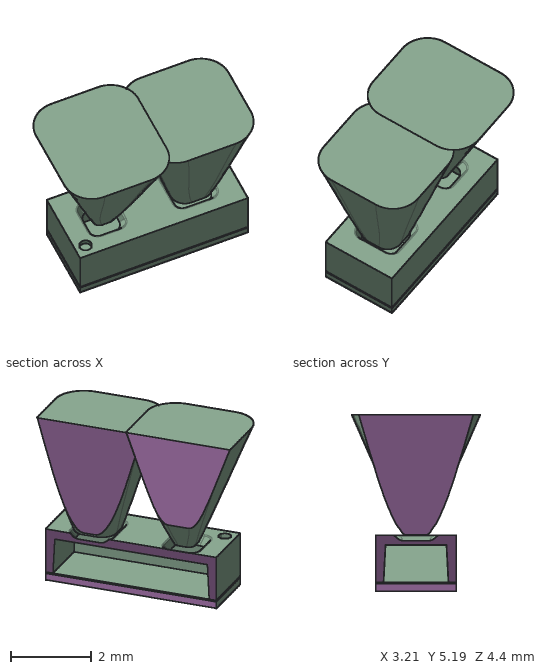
import cadquery as cq

PACKAGE_X = 2.015
PACKAGE_Y = 4.59
BASE_THICKNESS = 0.19
ADHESIVE_THICKNESS = 0.035
CAP_HEIGHT = 1.175
CAP_BOTTOM = BASE_THICKNESS + ADHESIVE_THICKNESS
CAP_TOP = CAP_BOTTOM + CAP_HEIGHT

ROOF_THICKNESS = 0.25
WALL_THICKNESS = 0.2
CAVITY_DRAFT = 3.0
CAVITY_HEIGHT = CAP_HEIGHT - ROOF_THICKNESS

EMITTER_Y = -1.26
AXIS_SPACING = 2.375
RECEIVER_Y = EMITTER_Y + AXIS_SPACING

EMITTER_WINDOW_X = 0.855
EMITTER_WINDOW_Y = 0.81
RECEIVER_WINDOW_X = 1.005
RECEIVER_WINDOW_Y = 0.985
WINDOW_CORNER = 0.24
WINDOW_SLOPE_X = 0.55
WINDOW_SLOPE_Y = 0.37
WINDOW_RIM_FILLET = 0.04

MARK_DIAMETER = 0.315
MARK_DEPTH = 0.13
MARK_X = 0.695
MARK_Y = -2.005

VIEW_HEIGHT = 3.0
EMITTER_TOP_Y = 2.805
EMITTER_TOP_X = 3.21
EMITTER_BOTTOM_X = 0.565
EMITTER_BOTTOM_Y = 0.545
EMITTER_BOTTOM_CORNER = 0.165
RECEIVER_TOP_X = 2.865
RECEIVER_TOP_Y = 2.825
RECEIVER_BOTTOM = 1.11
RECEIVER_BOTTOM_CORNER = 0.39
VIEW_TOP_CORNER = 0.76
CORNER_BEND = 1.25
VIEW_SPANS = 4


def rounded_rectangle(size_x, size_y, corner, y, z):
    """Closed wire of a rounded rectangle centred on X = 0, at the given Y and Z."""
    outline = cq.Sketch().rect(size_x, size_y).vertices().fillet(corner)
    return outline.reset().faces().val().outerWire().moved(cq.Location(cq.Vector(0, y, z)))


def plate(thickness, bottom):
    return cq.Workplane("XY", origin=(0, 0, bottom)).rect(PACKAGE_X, PACKAGE_Y).extrude(thickness)


def cavity():
    return (
        cq.Workplane("XY", origin=(0, 0, CAP_BOTTOM))
        .rect(PACKAGE_X - 2 * WALL_THICKNESS, PACKAGE_Y - 2 * WALL_THICKNESS)
        .extrude(CAVITY_HEIGHT, taper=CAVITY_DRAFT)
    )


def window(y, lower_x, lower_y):
    """Funnel that widens from the cavity roof up to the cap top."""
    upper_x = lower_x + 2 * WINDOW_SLOPE_X * ROOF_THICKNESS
    upper_y = lower_y + 2 * WINDOW_SLOPE_Y * ROOF_THICKNESS
    lower = rounded_rectangle(lower_x, lower_y, WINDOW_CORNER, y, CAP_TOP - ROOF_THICKNESS)
    upper = rounded_rectangle(upper_x, upper_y, WINDOW_CORNER, y, CAP_TOP)
    return cq.Workplane(cq.Solid.makeLoft([lower, upper], True))


def orientation_mark():
    mark = cq.Workplane("XY", origin=(MARK_X, MARK_Y, CAP_TOP))
    return mark.circle(MARK_DIAMETER / 2).extrude(-MARK_DEPTH)


def build_cap():
    cap = plate(CAP_HEIGHT, CAP_BOTTOM).cut(cavity())
    cap = cap.cut(window(EMITTER_Y, EMITTER_WINDOW_X, EMITTER_WINDOW_Y))
    cap = cap.cut(window(RECEIVER_Y, RECEIVER_WINDOW_X, RECEIVER_WINDOW_Y))
    window_rims = cq.Workplane().newObject(cap.faces(">Z").val().innerWires())
    cap = cap.newObject(window_rims.edges().vals()).fillet(WINDOW_RIM_FILLET)
    return cap.cut(orientation_mark())


def between(start, end, share):
    return start + (end - start) * share


def field_of_view(y, bottom_x, bottom_y, bottom_corner, top_x, top_y):
    """Straight-sided pyramid whose corner radius grows slowly at first and faster further up."""
    sections = []
    for step in range(VIEW_SPANS + 1):
        rise = step / VIEW_SPANS
        corner_share = rise**2 * (1 + CORNER_BEND * (1 - rise))
        sections.append(
            rounded_rectangle(
                between(bottom_x, top_x, rise),
                between(bottom_y, top_y, rise),
                between(bottom_corner, VIEW_TOP_CORNER, corner_share),
                y,
                CAP_TOP + VIEW_HEIGHT * rise,
            )
        )
    return cq.Workplane(cq.Solid.makeLoft(sections))


base = plate(BASE_THICKNESS, 0)
adhesive = plate(ADHESIVE_THICKNESS, BASE_THICKNESS)
cap = build_cap()
emitter_view = field_of_view(
    EMITTER_Y,
    EMITTER_BOTTOM_X,
    EMITTER_BOTTOM_Y,
    EMITTER_BOTTOM_CORNER,
    EMITTER_TOP_X,
    EMITTER_TOP_Y,
)
receiver_view = field_of_view(
    RECEIVER_Y,
    RECEIVER_BOTTOM,
    RECEIVER_BOTTOM,
    RECEIVER_BOTTOM_CORNER,
    RECEIVER_TOP_X,
    RECEIVER_TOP_Y,
).cut(emitter_view)

result = cq.Compound.makeCompound(
    [base.val(), adhesive.val(), cap.val(), emitter_view.val(), receiver_view.val()])